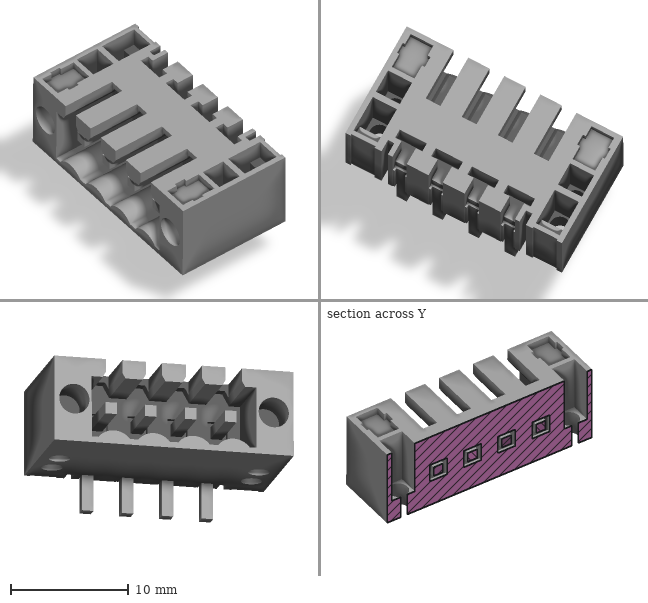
import cadquery as cq


LENGTH = 21.0
DEPTH = 11.05
HEIGHT = 7.5
FRONT_DRAFT = 0.06

PIN_COUNT = 4
PITCH = LENGTH / 6
PIN_SIZE = 1.0
PIN_AXIS_Z = 3.5
PIN_TAIL = 3.15
PIN_TIP_Y = 1.18
PIN_BACK_GAP = 0.35
PIN_XS = [(i - (PIN_COUNT - 1) / 2) * PITCH for i in range(PIN_COUNT)]
PIN_TOP_Z = PIN_AXIS_Z + PIN_SIZE / 2
PIN_BACK_Y = DEPTH - PIN_BACK_GAP
PIN_LEG_FRONT_Y = PIN_BACK_Y - PIN_SIZE

CAVITY_WIDTH = 14.45
CAVITY_FLOOR_Z = 0.5
CAVITY_ROOF_Z = 5.88
CAVITY_DEPTH = 6.05
RIB_WIDTH = 2.77
RIB_HEIGHT = 0.67
GROOVE_ROOT_WIDTH = 2.0
GROOVE_TOP_WIDTH = 0.82
GROOVE_TOP_Z = 6.9
SLOT_WIDTH = 1.43
SLOT_DEPTH = 5.05
PIN_RECESS_SIZE = 1.75
PIN_RECESS_DEPTH = 0.5

T_NECK_WIDTH = 1.39
T_NECK_DEPTH = 1.64
T_HEAD_WIDTH = 2.62
T_DEPTH = 2.45
T_FLOOR_Z = 5.05
T_STEP_DEPTH = 0.55
BACK_RELIEF = 0.06

NOTCH_WIDTH = 0.6
NOTCH_DEPTH = 1.15
NOTCH_X = 6.7

FLANGE_X = (PIN_COUNT + 1) / 2 * PITCH
FLANGE_HOLE_DIAMETER = 2.65
FLANGE_HOLE_Z = 3.75
FLANGE_HOLE_DEPTH = 3.57
POCKET_INNER_X = 7.66
POCKET_OUTER_X = 10.0
POCKET_DEPTH = 5.25
SCREW_HOLE_DIAMETER = 1.83
REAR_POCKET_Y = (7.08, 10.5)
REAR_SCREW_Y = 8.17
REAR_LEDGE_WIDTH = 1.1
REAR_LEDGE_DROP = 1.8
MIDDLE_POCKET_Y = (4.35, 6.53)
MIDDLE_SCREW_Y = 5.44
BACK_RECESS = 0.15
SHALLOW_POCKET_DEPTH = 0.71
SHALLOW_POCKET_X = (7.66, 9.87)
SHALLOW_POCKET_Y = (0.52, 3.9)
EAR_X = (7.4, 10.08)
EAR_Y = (1.55, 2.56)


def block(x_range, y_range, z_range):
    """Box spanning the given ranges."""
    (x0, x1), (y0, y1), (z0, z1) = x_range, y_range, z_range
    return cq.Workplane("XY").box(x1 - x0, y1 - y0, z1 - z0, centered=False).translate((x0, y0, z0))


def centred_block(x, width, y_range, z_range):
    """Box centred on x."""
    return block((x - width / 2, x + width / 2), y_range, z_range)


def front_sketch():
    """Plane of the front face: local x is X, local y is Z, positive extrusion goes toward the front."""
    return cq.Workplane("XZ")


def make_shell():
    """Outer block with the front face leaning back."""
    return (
        cq.Workplane("YZ")
        .polyline([(0, 0), (DEPTH, 0), (DEPTH, HEIGHT), (FRONT_DRAFT, HEIGHT)])
        .close()
        .extrude(LENGTH / 2, both=True)
    )


def make_cavity():
    """Plug space with rounded floor ribs and tapered roof grooves, plus the slots in the top."""
    cavity = centred_block(0, CAVITY_WIDTH, (0, CAVITY_DEPTH), (CAVITY_FLOOR_Z, CAVITY_ROOF_Z))
    for x in PIN_XS:
        rib = (
            front_sketch()
            .moveTo(x - RIB_WIDTH / 2, CAVITY_FLOOR_Z)
            .threePointArc((x, CAVITY_FLOOR_Z + RIB_HEIGHT), (x + RIB_WIDTH / 2, CAVITY_FLOOR_Z))
            .close()
            .extrude(-CAVITY_DEPTH)
        )
        groove = (
            front_sketch()
            .polyline([
                (x - GROOVE_ROOT_WIDTH / 2, CAVITY_ROOF_Z),
                (x - GROOVE_TOP_WIDTH / 2, GROOVE_TOP_Z),
                (x + GROOVE_TOP_WIDTH / 2, GROOVE_TOP_Z),
                (x + GROOVE_ROOT_WIDTH / 2, CAVITY_ROOF_Z),
            ])
            .close()
            .extrude(-CAVITY_DEPTH)
        )
        slot = centred_block(x, SLOT_WIDTH, (0, SLOT_DEPTH), (CAVITY_ROOF_Z, HEIGHT))
        cavity = cavity.cut(rib).union(groove).union(slot)
    return cavity


def make_t_pocket(x):
    """T-shaped pocket in the top, open to the back, with its neck stepping down to the pin."""
    neck_front_y = DEPTH - T_NECK_DEPTH
    neck = centred_block(x, T_NECK_WIDTH, (neck_front_y, DEPTH), (T_FLOOR_Z, HEIGHT))
    head = centred_block(x, T_HEAD_WIDTH, (DEPTH - T_DEPTH, neck_front_y), (T_FLOOR_Z, HEIGHT))
    step = centred_block(x, T_NECK_WIDTH, (DEPTH - T_STEP_DEPTH, DEPTH), (PIN_TOP_Z, HEIGHT))
    relief = centred_block(x, T_NECK_WIDTH, (DEPTH - BACK_RELIEF, DEPTH), (0, HEIGHT))
    return neck.union(head).union(step).union(relief)


def make_pin_passage(x):
    """Passage for the arm, channel for the leg and the square recess at the cavity wall."""
    arm = centred_block(x, PIN_SIZE, (CAVITY_DEPTH, DEPTH), (PIN_TOP_Z - PIN_SIZE, PIN_TOP_Z))
    leg = centred_block(x, PIN_SIZE, (PIN_LEG_FRONT_Y, DEPTH), (0, PIN_TOP_Z))
    recess = centred_block(
        x,
        PIN_RECESS_SIZE,
        (CAVITY_DEPTH, CAVITY_DEPTH + PIN_RECESS_DEPTH),
        (PIN_AXIS_Z - PIN_RECESS_SIZE / 2, PIN_AXIS_Z + PIN_RECESS_SIZE / 2),
    )
    return arm.union(leg).union(recess)


def make_flange_cuts():
    """Everything removed from the flange on the +X side."""
    pocket_x = (POCKET_INNER_X, POCKET_OUTER_X)
    pocket_z = (HEIGHT - POCKET_DEPTH, HEIGHT)
    ledge_y = (REAR_POCKET_Y[1] - REAR_LEDGE_WIDTH, REAR_POCKET_Y[1])
    ledge = block(pocket_x, ledge_y, (0, HEIGHT - REAR_LEDGE_DROP))
    cuts = block(pocket_x, REAR_POCKET_Y, pocket_z).cut(ledge)
    cuts = cuts.union(block(pocket_x, MIDDLE_POCKET_Y, pocket_z))
    for y in (REAR_SCREW_Y, MIDDLE_SCREW_Y):
        cuts = cuts.union(
            cq.Workplane("XY").center(FLANGE_X, y).circle(SCREW_HOLE_DIAMETER / 2).extrude(pocket_z[0])
        )

    shallow_z = (HEIGHT - SHALLOW_POCKET_DEPTH, HEIGHT)
    cuts = cuts.union(block(SHALLOW_POCKET_X, SHALLOW_POCKET_Y, shallow_z))
    cuts = cuts.union(block(EAR_X, EAR_Y, shallow_z))

    front_hole = (
        front_sketch()
        .center(FLANGE_X, FLANGE_HOLE_Z)
        .circle(FLANGE_HOLE_DIAMETER / 2)
        .extrude(-FLANGE_HOLE_DEPTH)
    )
    back_recess = block(pocket_x, (DEPTH - BACK_RECESS, DEPTH), (0, HEIGHT))
    notch = centred_block(NOTCH_X, NOTCH_WIDTH, (DEPTH - NOTCH_DEPTH, DEPTH), (0, HEIGHT))
    return cuts.union(front_hole).union(back_recess).union(notch)


def make_housing():
    housing = make_shell().cut(make_cavity())
    for x in PIN_XS:
        housing = housing.cut(make_t_pocket(x)).cut(make_pin_passage(x))
    flange_cuts = make_flange_cuts()
    return housing.cut(flange_cuts).cut(flange_cuts.mirror("YZ"))


def make_pin(x):
    """Bent contact: a horizontal arm into the cavity and a vertical leg out of the underside."""
    arm = centred_block(x, PIN_SIZE, (PIN_TIP_Y, PIN_BACK_Y), (PIN_TOP_Z - PIN_SIZE, PIN_TOP_Z))
    leg = centred_block(x, PIN_SIZE, (PIN_LEG_FRONT_Y, PIN_BACK_Y), (-PIN_TAIL, PIN_TOP_Z))
    return arm.union(leg)


housing = make_housing()
pins = [make_pin(x) for x in PIN_XS]

result = cq.Compound.makeCompound([housing.val(), *[pin.val() for pin in pins]])